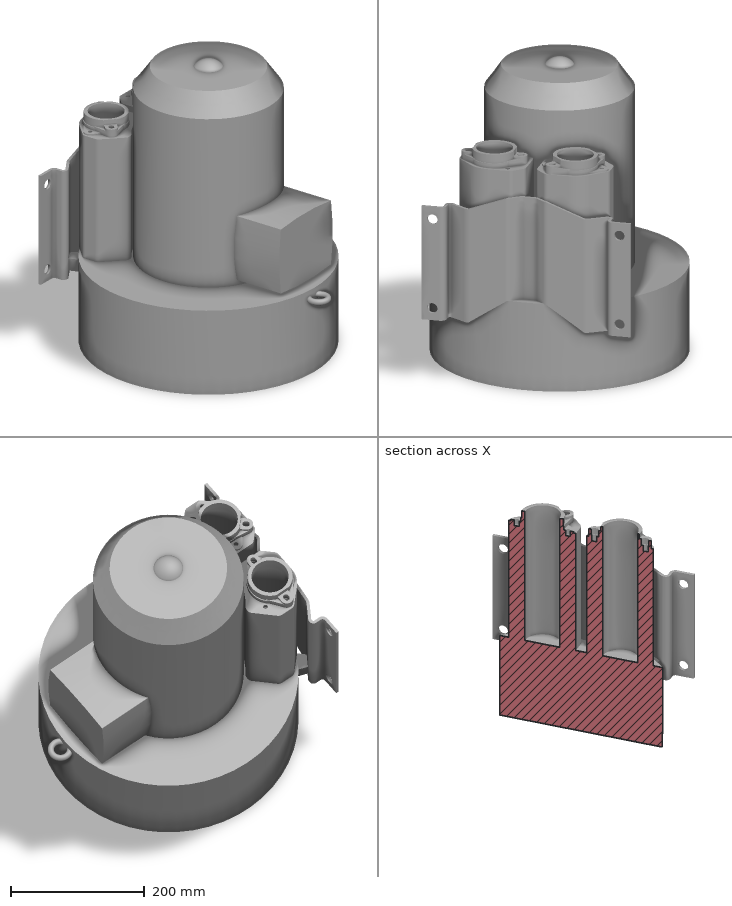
import cadquery as cq
import math

base_radius = 195.0
base_height = 139
motor_radius = 113.0
motor_shoulder_z = 417.0
motor_top_radius = 88
motor_top_z = 452.5
dome_radius = 22.0
total_height = 463

box_end_x = 177.5
box_center_y = 4.0
box_center_z = 200.5
box_half_width = 64.0
box_half_height = 53.0
box_bulge = 4.0

eye_center_x = 203.5
eye_center_z = 124.5
eye_ring_radius = 14.5
eye_wire_radius = 4.5

silencer_x = -144.0
silencer_y = 62.5
silencer_top_z = 341.5
silencer_half_width = 54.0
silencer_left = -40.7
silencer_right = 55.5
silencer_corner_sum = 77.0
silencer_motor_gap = 3.0
silencer_edge_round = 9.3

pipe_outer_radius = 34.0
pipe_inner_radius = 28
pipe_height = 21.0
flange_disc_radius = 35.0
flange_disc_height = 7.5
flange_wing_height = 9.0
gasket_height = 2.5
lug_reach = 41.0
lug_radius = 9.5
lug_height = 13.0
lug_flat = 31.5
slot_length = 11.0
slot_width = 8.5
slot_reach = 40.5
tapped_hole_diameter = 7.0
tapped_hole_depth = 7.0
gasket_angle = 90
second_hole_angle = 43

sheet = 4.5
bracket_half_width = 162
bracket_flange_x = -195.0
bracket_step_x = -175.0
bracket_plate_x = -192.5
bracket_valley_x = -178.5
bracket_fold_y = [127.5, 120.0, 92.0, 29.5, 11.5]
bend_inner_radii = [4.5, 2.5, 2.5, 14, 7.0, 9.3]
bracket_bottom_z = 99.0
bracket_top_z = 278.5
bracket_mid_bottom_z = 138.5
bracket_mid_top_z = 301
bracket_mid_half_width = 30.5
bracket_slope_end_y = 90.5
mount_hole_y = 145.0
mount_hole_z = [118.0, 259.0]
mount_hole_diameter = 15.7

block_bottom_z = 109.3
block_top_z = 129.0
block_half_width = 10.0
block_length = 28
block_taper_angle = 13


def housing_and_motor():
    dome_height = total_height - motor_top_z
    sphere_radius = (dome_radius**2 + dome_height**2) / (2 * dome_height)
    sphere_z = total_height - sphere_radius
    half_angle = math.asin(dome_radius / sphere_radius) / 2
    dome_mid = (sphere_radius * math.sin(half_angle), sphere_z + sphere_radius * math.cos(half_angle))
    return (
        cq.Workplane("XZ")
        .lineTo(base_radius, 0)
        .lineTo(base_radius, base_height)
        .lineTo(motor_radius, base_height)
        .lineTo(motor_radius, motor_shoulder_z)
        .lineTo(motor_top_radius, motor_top_z)
        .lineTo(dome_radius, motor_top_z)
        .threePointArc(dome_mid, (0, total_height))
        .close()
        .revolve(360, (0, 0), (0, 1))
    )


def terminal_box():
    w = box_half_width
    h = box_half_height
    return (
        cq.Workplane("YZ", origin=(0, box_center_y, box_center_z))
        .moveTo(-w, -h)
        .threePointArc((0, -h - box_bulge), (w, -h))
        .threePointArc((w + box_bulge, 0), (w, h))
        .threePointArc((0, h + box_bulge), (-w, h))
        .threePointArc((-w - box_bulge, 0), (-w, -h))
        .close()
        .extrude(box_end_x)
    )


def lifting_eye():
    ring = cq.Solid.makeTorus(eye_ring_radius, eye_wire_radius)
    return cq.Workplane(ring.translate(cq.Vector(eye_center_x, 0, eye_center_z)))


def silencer_body():
    """Silencer of the +Y side, with its pipe axis on the Z axis."""
    height = silencer_top_z - base_height
    left_chamfer_sum = -silencer_left * math.sqrt(2)
    outline = [
        (silencer_left, left_chamfer_sum + silencer_left),
        (silencer_half_width - left_chamfer_sum, silencer_half_width),
        (silencer_corner_sum - silencer_half_width, silencer_half_width),
        (silencer_right, silencer_corner_sum - silencer_right),
        (silencer_right, -silencer_half_width),
        (silencer_half_width - silencer_corner_sum, -silencer_half_width),
        (silencer_left, -silencer_corner_sum - silencer_left),
    ]
    motor_clearance = (
        cq.Workplane("XY", origin=(0, 0, base_height))
        .center(-silencer_x, -silencer_y)
        .circle(motor_radius + silencer_motor_gap)
        .extrude(height)
    )
    body = cq.Workplane("XY", origin=(0, 0, base_height)).polyline(outline).close().extrude(height)
    big_corner = cq.NearestToPointSelector((*outline[0], base_height + height / 2))
    body = body.edges("|Z").edges(big_corner).fillet(-silencer_left)
    body = body.cut(motor_clearance)
    for x, y in sharp_corners(outline):
        corner = cq.NearestToPointSelector((x, y, base_height + height / 2))
        body = body.edges("|Z").edges(corner).fillet(silencer_edge_round)
    return body


def sharp_corners(outline):
    """Corners with a small round: the plain ones and the two where the motor clearance cuts in."""
    reach = motor_radius + silencer_motor_gap
    upper_y = -silencer_y + math.sqrt(reach**2 - (silencer_x + silencer_right) ** 2)
    lower_x = -silencer_x - math.sqrt(reach**2 - (silencer_y - silencer_half_width) ** 2)
    return outline[1:4] + outline[5:] + [(silencer_right, upper_y), (lower_x, -silencer_half_width)]


def lobed_plate(height):
    """Pipe-sized disc with two lobes along X, joined by tangent lines."""
    tangent = math.acos((pipe_outer_radius - lug_radius) / lug_reach)
    c = math.cos(tangent)
    s = math.sin(tangent)
    disc_x = pipe_outer_radius * c
    disc_y = pipe_outer_radius * s
    lug_x = lug_reach + lug_radius * c
    lug_y = lug_radius * s
    tip = lug_reach + lug_radius
    return (
        cq.Workplane("XY", origin=(0, 0, silencer_top_z))
        .moveTo(disc_x, -disc_y)
        .lineTo(lug_x, -lug_y)
        .threePointArc((tip, 0), (lug_x, lug_y))
        .lineTo(disc_x, disc_y)
        .threePointArc((0, pipe_outer_radius), (-disc_x, disc_y))
        .lineTo(-lug_x, lug_y)
        .threePointArc((-tip, 0), (-lug_x, -lug_y))
        .lineTo(-disc_x, -disc_y)
        .threePointArc((0, -pipe_outer_radius), (disc_x, -disc_y))
        .close()
        .extrude(height)
    )


def lug_prisms(bottom, top):
    """Two prisms over the lugs, round at the tips and flat towards the pipe."""
    prisms = cq.Workplane("XY")
    for side in (1, -1):
        lug = (
            cq.Workplane("XY", origin=(0, 0, silencer_top_z + bottom))
            .moveTo(side * lug_flat, -lug_radius)
            .lineTo(side * lug_reach, -lug_radius)
            .threePointArc((side * (lug_reach + lug_radius), 0), (side * lug_reach, lug_radius))
            .lineTo(side * lug_flat, lug_radius)
            .close()
            .extrude(top - bottom)
        )
        prisms = prisms.add(lug)
    return prisms.combine()


def pipe_flange():
    """Flanged pipe end, with its lugs along X."""
    start = cq.Workplane("XY", origin=(0, 0, silencer_top_z))
    flange = lobed_plate(flange_wing_height)
    flange = flange.union(start.circle(flange_disc_radius).extrude(flange_disc_height))
    flange = flange.union(start.circle(pipe_outer_radius).extrude(pipe_height))
    flange = flange.cut(lug_prisms(lug_height, pipe_height))
    flange = flange.union(lug_prisms(0, lug_height))
    slots = (
        start.pushPoints([(slot_reach, 0), (-slot_reach, 0)])
        .slot2D(slot_length, slot_width)
        .extrude(lug_height)
    )
    return flange.cut(slots)


def silencer(side, flange_angle):
    """Complete silencer on the +Y (side 1) or -Y (side -1) half."""
    body = silencer_body()
    gasket = lobed_plate(gasket_height).rotate((0, 0, 0), (0, 0, 1), gasket_angle)
    start = cq.Workplane("XY", origin=(0, 0, silencer_top_z - tapped_hole_depth))
    bore = (
        cq.Workplane("XY", origin=(0, 0, base_height))
        .circle(pipe_inner_radius)
        .extrude(silencer_top_z + pipe_height - base_height)
    )
    holes = cq.Workplane("XY")
    for angle in (gasket_angle, second_hole_angle):
        across = lug_reach * math.cos(math.radians(angle))
        along = lug_reach * math.sin(math.radians(angle))
        pair = start.pushPoints([(across, along), (-across, -along)]).circle(tapped_hole_diameter / 2)
        holes = holes.add(pair.extrude(tapped_hole_depth + gasket_height))
    holes = holes.combine()
    flange = pipe_flange().rotate((0, 0, 0), (0, 0, 1), flange_angle)
    whole = body.union(gasket).union(flange).cut(bore).cut(holes)
    if side < 0:
        whole = whole.mirror("XZ")
    return whole.translate((silencer_x, side * silencer_y, 0))


def bracket_folds():
    """Sheet centre line from the +Y end to the -Y end."""
    flange_y, step_y, plate_outer_y, plate_inner_y, valley_y = bracket_fold_y
    half = [
        (bracket_flange_x, bracket_half_width),
        (bracket_flange_x, flange_y),
        (bracket_step_x, flange_y),
        (bracket_step_x, step_y),
        (bracket_plate_x, plate_outer_y),
        (bracket_plate_x, plate_inner_y),
        (bracket_valley_x, valley_y),
    ]
    return half + [(x, -y) for x, y in reversed(half)]


def offset_folds(path, distance):
    """Path moved sideways by distance (positive to the right of travel), with mitred corners."""
    moved = []
    for i, (x, y) in enumerate(path):
        before = path[max(i - 1, 0)]
        after = path[min(i + 1, len(path) - 1)]
        first = math.atan2(y - before[1], x - before[0]) if i > 0 else None
        second = math.atan2(after[1] - y, after[0] - x) if i < len(path) - 1 else first
        first = second if first is None else first
        turn = math.remainder(second - first, 2 * math.pi)
        normal = first + turn / 2 - math.pi / 2
        reach = distance / math.cos(turn / 2)
        moved.append((x + reach * math.cos(normal), y + reach * math.sin(normal)))
    return moved


def bracket():
    path = bracket_folds()
    faces = [offset_folds(path, -sheet / 2), offset_folds(path, sheet / 2)]
    height = bracket_mid_top_z - bracket_bottom_z
    mid_z = bracket_bottom_z + height / 2
    body = (
        cq.Workplane("XY", origin=(0, 0, bracket_bottom_z))
        .polyline(faces[0] + faces[1][::-1])
        .close()
        .extrude(height)
    )
    radii = bend_inner_radii + bend_inner_radii[::-1]
    for i, radius in enumerate(radii, start=1):
        (x0, y0), (x1, y1), (x2, y2) = path[i - 1:i + 2]
        turns_left = (x1 - x0) * (y2 - y1) - (y1 - y0) * (x2 - x1) > 0
        inner, outer = faces if turns_left else faces[::-1]
        inner_edge = cq.NearestToPointSelector((*inner[i], mid_z))
        body = body.edges("|Z").edges(inner_edge).fillet(radius)
        outer_edge = cq.NearestToPointSelector((*outer[i], mid_z))
        body = body.edges("|Z").edges(outer_edge).fillet(radius + sheet)
    contour = [
        (bracket_half_width, bracket_bottom_z),
        (bracket_half_width, bracket_top_z),
        (bracket_slope_end_y, bracket_top_z),
        (bracket_mid_half_width, bracket_mid_top_z),
        (-bracket_mid_half_width, bracket_mid_top_z),
        (-bracket_slope_end_y, bracket_top_z),
        (-bracket_half_width, bracket_top_z),
        (-bracket_half_width, bracket_bottom_z),
        (-bracket_slope_end_y, bracket_bottom_z),
        (-bracket_mid_half_width, bracket_mid_bottom_z),
        (bracket_mid_half_width, bracket_mid_bottom_z),
        (bracket_slope_end_y, bracket_bottom_z),
    ]
    depth = 2 * (bracket_step_x - bracket_flange_x + sheet)
    front = cq.Workplane("YZ", origin=(bracket_flange_x - sheet, 0, 0))
    body = body.intersect(front.polyline(contour).close().extrude(depth))
    spots = [(y, z) for y in (mount_hole_y, -mount_hole_y) for z in mount_hole_z]
    return body.cut(front.pushPoints(spots).circle(mount_hole_diameter / 2).extrude(depth))


def bracket_block():
    """Block on the +Y side, square to the sloping part of the bracket and widening towards the housing."""
    step_y, plate_y = bracket_fold_y[1:3]
    slope = math.degrees(math.atan2(bracket_plate_x - bracket_step_x, step_y - plate_y))
    start_x = (bracket_step_x + bracket_plate_x) / 2
    end_half = block_half_width + block_length * math.tan(math.radians(block_taper_angle))
    return (
        cq.Workplane("XY")
        .moveTo(0, -block_half_width)
        .lineTo(block_length, -end_half)
        .lineTo(block_length, end_half)
        .lineTo(0, block_half_width)
        .close()
        .extrude(block_top_z - block_bottom_z)
        .rotate((0, 0, 0), (0, 0, 1), slope)
        .translate((start_x, (step_y + plate_y) / 2, block_bottom_z))
    )


block = bracket_block()
result = (
    housing_and_motor()
    .union(terminal_box())
    .union(lifting_eye())
    .union(silencer(1, gasket_angle))
    .union(silencer(-1, second_hole_angle))
    .union(bracket())
    .union(block)
    .union(block.mirror("XZ"))
)